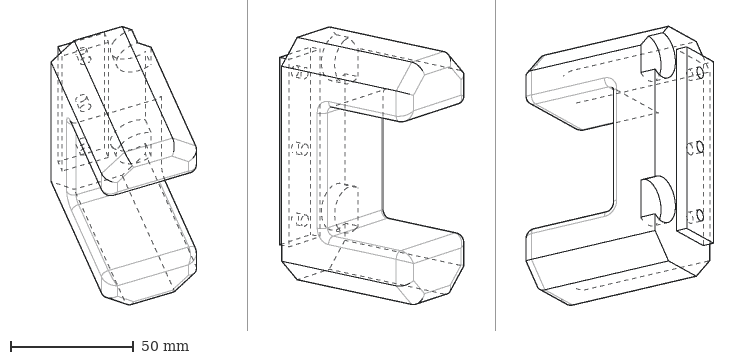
import cadquery as cq

body_length = 64.9
body_width = 40.8
body_height = 102.3
corner_chamfer = 10.0
tip_round = 5.0

web_thickness = 21.6
upper_arm_height = 23.6
lower_arm_height = 24.2
opening_corner_radius = 3.0
opening_edge_round = 3.0

plate_thickness = 5.0
plate_width = 20.0
plate_height = 79.1
plate_bottom = 15.0
plate_center_y = -5.5

screw_hole_diameter = 4.7
screw_hole_depth = plate_thickness
screw_hole_heights = (23.9, 53.8, 86.1)

pocket_diameter = 19.4
pocket_depth = 7.0
pocket_center_y = body_width / 2 - 5.4
pocket_heights = (25.4, 88.4)

opening_height = body_height - upper_arm_height - lower_arm_height
opening_length = body_length - web_thickness


def cylinder_along_x(start_x, length, center_y, center_z, diameter):
    """Solid cylinder that runs in +X from start_x."""
    plane = cq.Workplane("YZ", origin=(start_x, center_y, center_z))
    return plane.circle(diameter / 2).extrude(length)


def make_body():
    """Chamfered bar with the opening cut out, arm tips rounded and opening edges rounded."""
    bar = cq.Workplane("XY").box(
        body_length, body_width, body_height, centered=(False, True, False)
    )
    bar = bar.edges("|X").chamfer(corner_chamfer)

    opening = (
        cq.Workplane("XY", origin=(web_thickness, 0, lower_arm_height))
        .box(opening_length, body_width, opening_height, centered=(False, True, False))
        .edges("|Y and <X")
        .fillet(opening_corner_radius)
    )
    body = bar.cut(opening)
    body = body.faces(">X").edges().fillet(tip_round)

    margin = opening_edge_round
    opening_edges = cq.selectors.BoxSelector(
        (web_thickness - margin, -body_width, lower_arm_height - margin),
        (body_length - tip_round, body_width, body_height - upper_arm_height + margin),
    )
    return body.faces("<Y or >Y").edges(opening_edges).fillet(opening_edge_round)


def make_plate():
    """Flat rectangular plate standing proud of the mounting face."""
    return cq.Workplane("XY", origin=(-plate_thickness, plate_center_y, plate_bottom)).box(
        plate_thickness, plate_width, plate_height, centered=(False, True, False)
    )


result = make_body()
for height in pocket_heights:
    pocket = cylinder_along_x(0, pocket_depth, pocket_center_y, height, pocket_diameter)
    result = result.cut(pocket)

result = result.union(make_plate())
for height in screw_hole_heights:
    hole = cylinder_along_x(
        -plate_thickness, screw_hole_depth, plate_center_y, height, screw_hole_diameter
    )
    result = result.cut(hole)